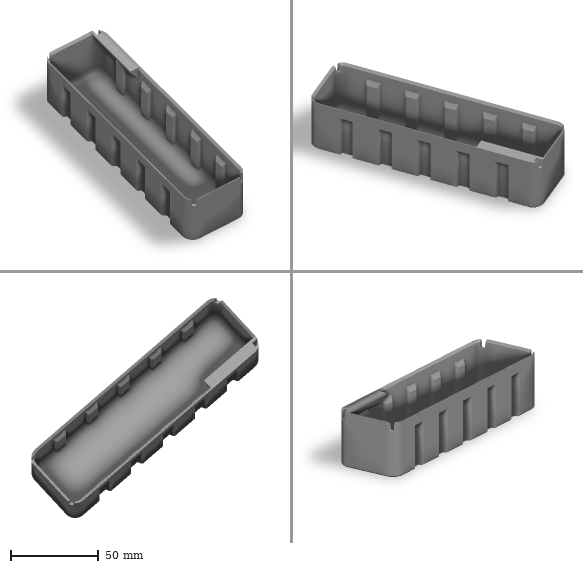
import cadquery as cq

length = 146.0
width = 41.2
height = 33.7
corner_radius = 7.0
wall = 1.6
floor_thickness = 1.3
bottom_chamfer = 0.9
floor_fillet = 3.8
rim_flat = 0.3

groove_count = 5
groove_pitch = 24.5
groove_width = 8.9
groove_top = 27.2
groove_top_drop = 3.0
groove_depth = 2.9
groove_side_run = 1.5
rib_depth = 2.0
rib_side_run = 1.0
rib_edge_radius = 0.9

label_length = 39.7
label_reach = 7.0
label_lip = 1.3
label_support_height = 7.2

notch_offset = 3.8
notch_top_width = 2.9
notch_bottom_width = 2.2
notch_depth = 5.3
notch_length = 4.2
notch_round = 0.9

half_length = length / 2
half_width = width / 2


def rounded_block(size_x, size_y, size_z, radius):
    """Upright block with rounded vertical corners, standing on Z = 0."""
    block = cq.Workplane("XY").box(size_x, size_y, size_z, centered=(True, True, False))
    return block.edges("|Z").fillet(radius)


def make_body():
    body = rounded_block(length, width, height, corner_radius)
    return body.faces("<Z").edges().chamfer(bottom_chamfer)


def make_cavity():
    cavity = rounded_block(
        length - 2 * wall, width - 2 * wall, height - floor_thickness, corner_radius - wall
    )
    return cavity.faces("<Z").edges().fillet(floor_fillet).translate((0, 0, floor_thickness))


def make_rim_flare():
    """Widening of the mouth that bevels the rim at 45 degrees, leaving a thin flat edge."""
    bevel = wall - rim_flat
    flare = rounded_block(
        length - 2 * rim_flat, width - 2 * rim_flat, 2 * bevel, corner_radius - rim_flat
    )
    return flare.faces("<Z").edges().chamfer(bevel).translate((0, 0, height - bevel))


def tapered_bar(wall_y, depth, side_run):
    """Tapered bar from the plane Y = wall_y inward, toward +Y, with a sloping top."""
    half = groove_width / 2
    plan = [
        (-half, wall_y),
        (half, wall_y),
        (half - side_run, wall_y + depth),
        (-half + side_run, wall_y + depth),
    ]
    side = [
        (wall_y, 0),
        (wall_y, groove_top),
        (wall_y + depth, groove_top - groove_top_drop),
        (wall_y + depth, 0),
    ]
    bar = cq.Workplane("XY").polyline(plan).close().extrude(height)
    profile = cq.Workplane("YZ").polyline(side).close().extrude(half, both=True)
    return bar.intersect(profile)


def on_both_long_walls(form):
    """Copies of a front-wall form along the front wall and, mirrored, along the back wall."""
    copies = cq.Workplane("XY")
    for index in range(groove_count):
        x = (index - (groove_count - 1) / 2) * groove_pitch
        front = form.translate((x, 0, 0))
        copies = copies.add(front).add(front.mirror("XZ"))
    return copies.combine()


def make_label():
    """Flat ledge with a sloping support underneath, extruded along the back wall."""
    front_y = half_width - label_reach
    lip_z = height - label_lip
    side = [
        (half_width, height),
        (front_y, height),
        (front_y, lip_z),
        (half_width - wall, lip_z - label_support_height),
        (half_width, lip_z - label_support_height),
    ]
    label = cq.Workplane("YZ").polyline(side).close().extrude(label_length)
    return label.translate((-half_length, 0, 0))


def make_notch(x_side, y_side):
    """Tapered notch with a rounded bottom, running along X through one corner of the rim."""
    bottom_z = height - notch_depth
    outline = [
        (-notch_top_width / 2, height),
        (notch_top_width / 2, height),
        (notch_bottom_width / 2, bottom_z),
        (-notch_bottom_width / 2, bottom_z),
    ]
    notch = cq.Workplane("YZ").polyline(outline).close().extrude(notch_length / 2, both=True)
    notch = notch.faces("<Z").edges("|X").fillet(notch_round)
    return notch.translate(
        (x_side * (half_length - notch_length / 2), y_side * (half_width - notch_offset), 0)
    )


def make_rib():
    rib = tapered_bar(wall - half_width, rib_depth, rib_side_run)
    return rib.edges("|Z and >Y").fillet(rib_edge_radius)


body = make_body()
shell = body.cut(make_cavity()).cut(make_rim_flare())
ribs = on_both_long_walls(make_rib()).intersect(body)
label = make_label().intersect(body)
groove = tapered_bar(-half_width, groove_depth, groove_side_run)
tub = shell.union(ribs).union(label).cut(on_both_long_walls(groove))
for x_side in (-1, 1):
    for y_side in (-1, 1):
        tub = tub.cut(make_notch(x_side, y_side))
result = tub.solids()